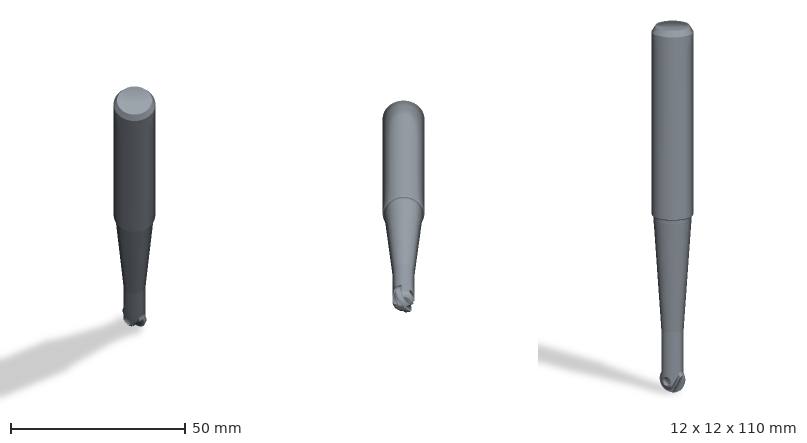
import cadquery as cq
import math

total_length = 110.0
shank_diameter = 12.0
shank_radius = shank_diameter / 2
shank_bottom = 53.2
top_chamfer_width = 1.0
top_chamfer_angle = 60.0
top_chamfer_height = top_chamfer_width * math.tan(math.radians(top_chamfer_angle))
shoulder_chamfer = 0.3
taper_top = 52.2
taper_top_radius = 5.5
taper_bottom = 19.0
neck_diameter = 6.45
neck_radius = neck_diameter / 2

nose_bottom = 1.6
nose_top = 3.3
nose_round = 1.95
nose_end_angle = math.asin((nose_top - nose_bottom) / nose_round)

ball_radius = 4.0
ball_center = ball_radius
insert_thickness = 2.4
half_thickness = insert_thickness / 2
insert_rim_radius = 3.6
cutting_edge_half_width = 0.2
insert_hole_diameter = 2.5

slot_top = 7.0
screw_hole_diameter = 2.6

holder_gash_foot = 0.35
holder_gash_angle = 66.0
insert_gash_foot = 0.5
insert_gash_angle = 61.5
gash_size = 20.0


def gash(foot_x, angle, inner_y):
    """Cutter on the -Y side of inner_y, removing all that lies beyond the steep plane."""
    return (
        cq.Workplane("XY")
        .box(gash_size, gash_size, gash_size, centered=(False, False, True))
        .translate((0, -gash_size, 0))
        .rotate((0, 0, 0), (0, 1, 0), 90 - angle)
        .translate((foot_x, inner_y, 0))
    )


def cut_gash_pair(body, cutter):
    """Cut two gashes, the second turned half a revolution about the tool axis."""
    for turn in (0, 180):
        body = body.cut(cutter.rotate((0, 0, 0), (0, 0, 1), turn))
    return body


def cross_hole(diameter):
    """Hole along Y through the ball centre."""
    return (
        cq.Workplane("XZ")
        .center(0, ball_center)
        .circle(diameter / 2)
        .extrude(shank_radius, both=True)
    )


def slot_space():
    """Space of the insert slot, running along X and open at the tip."""
    return cq.Workplane("XY").box(
        shank_diameter, insert_thickness, slot_top, centered=(True, True, False)
    )


def make_holder():
    """Stepped round shank and neck with a slotted, rounded nose."""
    nose_center_r = neck_radius - nose_round
    nose_mid_angle = nose_end_angle / 2
    holder = (
        cq.Workplane("XZ")
        .moveTo(0, nose_bottom)
        .lineTo(nose_center_r + nose_round * math.cos(nose_end_angle), nose_bottom)
        .threePointArc(
            (
                nose_center_r + nose_round * math.cos(nose_mid_angle),
                nose_top - nose_round * math.sin(nose_mid_angle),
            ),
            (neck_radius, nose_top),
        )
        .lineTo(neck_radius, taper_bottom)
        .lineTo(taper_top_radius, taper_top)
        .lineTo(taper_top_radius, shank_bottom)
        .lineTo(shank_radius - shoulder_chamfer, shank_bottom)
        .lineTo(shank_radius, shank_bottom + shoulder_chamfer)
        .lineTo(shank_radius, total_length - top_chamfer_height)
        .lineTo(shank_radius - top_chamfer_width, total_length)
        .lineTo(0, total_length)
        .close()
        .revolve(360, (0, 0, 0), (0, 1, 0))
    )
    holder = holder.cut(slot_space()).cut(cross_hole(screw_hole_diameter))
    cutter = gash(holder_gash_foot, holder_gash_angle, -half_thickness)
    return cut_gash_pair(holder, cutter)


def make_insert():
    """Disc insert with a raised edge, flattened where it meets the slot bottom."""
    disc = (
        cq.Workplane("XY")
        .moveTo(0, -half_thickness)
        .lineTo(insert_rim_radius, -half_thickness)
        .lineTo(ball_radius, -cutting_edge_half_width)
        .lineTo(ball_radius, cutting_edge_half_width)
        .lineTo(insert_rim_radius, half_thickness)
        .lineTo(0, half_thickness)
        .close()
        .revolve(360, (0, 0, 0), (0, 1, 0))
        .translate((0, 0, ball_center))
    )
    insert = disc.intersect(slot_space()).cut(cross_hole(insert_hole_diameter))
    cutter = gash(insert_gash_foot, insert_gash_angle, -cutting_edge_half_width)
    return cut_gash_pair(insert, cutter)


holder = make_holder()
insert = make_insert()
result = cq.Compound.makeCompound([holder.val(), insert.val()])